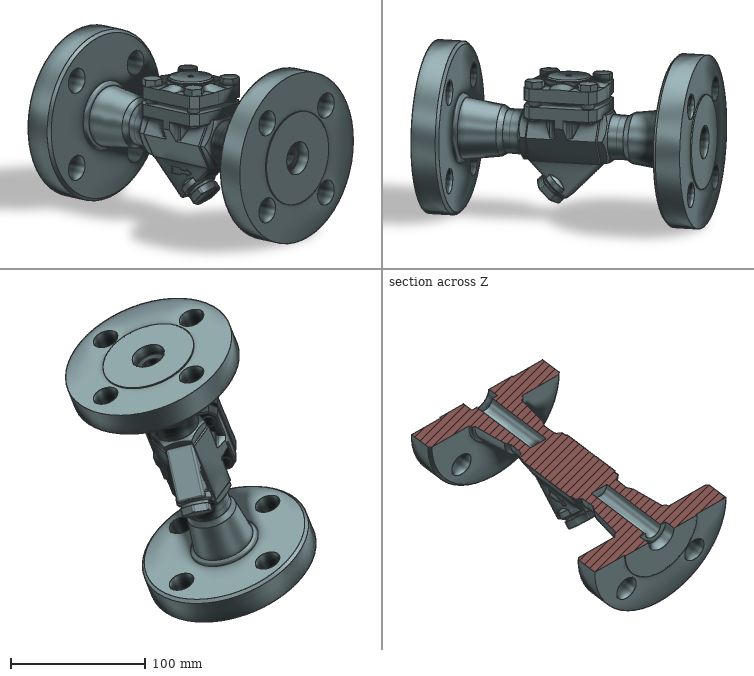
import cadquery as cq
import math

length = 210.0
half_length = length / 2

flange_dia = 130.0
flange_thickness = 21.0
flange_chamfer = 2.2
raised_face_dia = 71.0
raised_face_height = 1.0
bolt_circle_dia = 95.0
bolt_hole_dia = 19.0
bolt_hole_count = 4
port_dia = 25.0
port_depth = 9.5
bore_dia = 15.0

hub_dia = 46.4
hub_fillet = 3.2
cone_end_x = 51.0
cone_end_dia = 38.4
waist_start_x = 46.6
waist_end_x = 41.4
waist_dia = 33.2
collar_dia = 34.0

body_half_length = 34.6
end_hex_flats = 37.0
mid_hex_flats = 39.0
mid_half_length = 27.8
mid_end_chamfer = 0.9
end_chamfer_dia = 34.4
end_chamfer_length = 2.8

pad_half_y = 28.0
pad_corner_x = 28.1
pad_corner_cut = 5.1
pad_tip_x = 31.0
pad_tip_fillet = 30.0
body_pad_bottom_z = 15.0
body_pad_top_z = 25.0
body_pad_chamfer = 0.9
cover_bottom_z = 29.2
cover_top_z = 38.8

spigot_dia = 32.0
dome_dia = 34.0
dome_chamfer = 1.0
dome_foot_dia = 35.4
dome_foot_height = 3.9
dome_top_z = 44.6
button_dia = 4.0
button_tip_dia = 2.8
button_height = 0.6
ridge_inner_radius = 14.0
ridge_inner_half_width = 9.4
ridge_inner_rise = 4.0
ridge_outer_half_width = 7.7
ridge_outer_rise = 0.5

cover_bolt_offset = 20.5
cover_bolt_dia = 9.0
cover_bolt_end_z = 13.5
cover_bolt_head_flats = 13.0
cover_bolt_head_top_z = 43.9
cover_bolt_head_chamfer = 0.6

web_root_half_width = 15.0
web_root_y = 13.4
web_shoulder_half_width = 8.7
web_shoulder_y = 21.8
rib_root_half_width = 5.0
rib_face_half_width = 3.3
rib_root_fillet = 2.0

housing_reach = 33.6
housing_thickness = 21.4
housing_top_z = -14.0
housing_edge_fillet = 1.8
plug_axis_offset = 20.2
boss_dia = 26.6
boss_start = 26.3
boss_end = 34.6
boss_inner_taper_length = 2.6
boss_inner_taper_height = 2.8
boss_outer_chamfer = 1.4
plug_neck_dia = 21.0
plug_head_flats = 21.0
plug_head_start = 37.0
plug_head_end = 42.8
plug_head_edge_radius = 2.0
plug_head_chamfer = 0.8

arrow_height = 0.4
arrow_tail_x = -10.0
arrow_neck_x = 0.4
arrow_head_x = 5.6
arrow_tip_x = 10.0
arrow_z = -26.5
arrow_tail_half = 2.6
arrow_shaft_half = 1.3
arrow_notch = 1.8

flange_outer_x = half_length - raised_face_height
flange_inner_x = flange_outer_x - flange_thickness


def corner_dia(flats):
    """Across-corner size of a hexagon with the given across-flats size."""
    return flats / math.cos(math.pi / 6)


def make_pipe_end():
    """Flange and neck on the +X side, revolved about the X axis."""
    flange_r = flange_dia / 2
    hub_r = hub_dia / 2
    profile = (
        cq.Workplane("XY")
        .moveTo(0, 0)
        .lineTo(half_length, 0)
        .lineTo(half_length, raised_face_dia / 2)
        .lineTo(flange_outer_x, raised_face_dia / 2)
        .lineTo(flange_outer_x, flange_r)
        .lineTo(flange_inner_x + flange_chamfer, flange_r)
        .lineTo(flange_inner_x, flange_r - flange_chamfer)
        .lineTo(flange_inner_x, hub_r + hub_fillet)
        .radiusArc((flange_inner_x - hub_fillet, hub_r), -hub_fillet)
        .lineTo(cone_end_x, cone_end_dia / 2)
        .lineTo(waist_start_x, waist_dia / 2)
        .lineTo(waist_end_x, waist_dia / 2)
        .lineTo(body_half_length, collar_dia / 2)
        .lineTo(0, collar_dia / 2)
        .close()
    )
    pipe_end = profile.revolve(360, (0, 0, 0), (1, 0, 0))
    bolt_holes = (
        cq.Workplane("YZ")
        .workplane(offset=flange_inner_x)
        .polarArray(bolt_circle_dia / 2, 45, 360, bolt_hole_count)
        .circle(bolt_hole_dia / 2)
        .extrude(flange_thickness)
    )
    return pipe_end.cut(bolt_holes)


def make_port():
    """Stepped blind bore on the +X side."""
    socket = (
        cq.Workplane("YZ")
        .workplane(offset=half_length - port_depth)
        .circle(port_dia / 2)
        .extrude(port_depth)
    )
    bore = (
        cq.Workplane("YZ")
        .workplane(offset=body_half_length)
        .circle(bore_dia / 2)
        .extrude(half_length - body_half_length)
    )
    return socket.union(bore)


def hex_bar(flats, half_length_x):
    """Hexagonal bar along X with corners at +Y and -Y."""
    bar = cq.Workplane("YZ").polygon(6, corner_dia(flats))
    return bar.extrude(half_length_x, both=True)


def make_hex_body():
    """Chamfered hexagon with a larger hexagon around its middle."""
    end_r = end_chamfer_dia / 2
    full_r = corner_dia(end_hex_flats) / 2
    envelope = (
        cq.Workplane("XY")
        .moveTo(-body_half_length, 0)
        .lineTo(-body_half_length, end_r)
        .lineTo(-body_half_length + end_chamfer_length, full_r)
        .lineTo(body_half_length - end_chamfer_length, full_r)
        .lineTo(body_half_length, end_r)
        .lineTo(body_half_length, 0)
        .close()
        .revolve(360, (0, 0, 0), (1, 0, 0))
    )
    ends = hex_bar(end_hex_flats, body_half_length).intersect(envelope)
    middle = hex_bar(mid_hex_flats, mid_half_length)
    return ends.union(middle.faces("|X").chamfer(mid_end_chamfer))


def make_pad(bottom_z, top_z):
    """Square flange with cut corners and slightly pointed X sides."""
    flat_x = pad_corner_x - pad_corner_cut
    corner_y = pad_half_y - pad_corner_cut
    outline = [
        (flat_x, -pad_half_y),
        (pad_corner_x, -corner_y),
        (pad_tip_x, 0),
        (pad_corner_x, corner_y),
        (flat_x, pad_half_y),
        (-flat_x, pad_half_y),
        (-pad_corner_x, corner_y),
        (-pad_tip_x, 0),
        (-pad_corner_x, -corner_y),
        (-flat_x, -pad_half_y),
    ]
    pad = cq.Workplane("XY").workplane(offset=bottom_z).polyline(outline).close()
    pad = pad.extrude(top_z - bottom_z)
    return pad.edges("|Z and (<X or >X)").fillet(pad_tip_fillet)


def make_web():
    """Webs that carry the body pad down to the front and back hexagon corners."""
    outline = [
        (-web_root_half_width, -web_root_y),
        (-web_shoulder_half_width, -web_shoulder_y),
        (-rib_root_half_width, -web_shoulder_y),
        (-rib_face_half_width, -pad_half_y),
        (rib_face_half_width, -pad_half_y),
        (rib_root_half_width, -web_shoulder_y),
        (web_shoulder_half_width, -web_shoulder_y),
        (web_root_half_width, -web_root_y),
    ]
    root_margin = (web_shoulder_half_width - rib_root_half_width) / 2
    column_top_z = body_pad_bottom_z + body_pad_chamfer
    column = cq.Workplane("XY").polyline(outline).close().extrude(column_top_z)
    root_corners = cq.selectors.BoxSelector(
        (-web_shoulder_half_width + root_margin, -pad_half_y + root_margin, 0),
        (web_shoulder_half_width - root_margin, -web_root_y - root_margin, column_top_z),
    )
    column = column.edges("|Z").edges(root_corners).fillet(rib_root_fillet)
    hex_corner_y = corner_dia(mid_hex_flats) / 2
    slope_z = (pad_half_y - hex_corner_y) * math.tan(math.pi / 3)
    underside = (
        cq.Workplane("YZ")
        .polyline([(-hex_corner_y, 0), (-pad_half_y, slope_z), (-pad_half_y, 0)])
        .close()
        .extrude(web_root_half_width, both=True)
    )
    web = column.cut(underside)
    return web.union(web.mirror("XZ"))


def make_ridge(angle, pad_edge):
    """Arched ridge on the cover running outward from the dome."""
    start = cq.Plane(
        origin=(ridge_inner_radius, 0, cover_top_z), xDir=(0, 1, 0), normal=(1, 0, 0)
    )
    ridge = (
        cq.Workplane(start)
        .moveTo(-ridge_inner_half_width, 0)
        .threePointArc((0, ridge_inner_rise), (ridge_inner_half_width, 0))
        .close()
        .workplane(offset=pad_edge - ridge_inner_radius)
        .moveTo(-ridge_outer_half_width, 0)
        .threePointArc((0, ridge_outer_rise), (ridge_outer_half_width, 0))
        .close()
        .loft()
    )
    return ridge.rotate((0, 0, 0), (0, 0, 1), angle)


def make_cover():
    """Cover plate with spigot, ridges, footed dome and centre button."""
    spigot = (
        cq.Workplane("XY")
        .workplane(offset=body_pad_top_z)
        .circle(spigot_dia / 2)
        .extrude(cover_bottom_z - body_pad_top_z)
    )
    dome = (
        cq.Workplane("XY")
        .workplane(offset=cover_top_z)
        .circle(dome_dia / 2)
        .extrude(dome_top_z - cover_top_z)
        .faces(">Z")
        .chamfer(dome_chamfer)
    )
    foot = (
        cq.Workplane("XY")
        .workplane(offset=cover_top_z)
        .circle(dome_foot_dia / 2)
        .extrude(dome_foot_height)
    )
    button = (
        cq.Workplane("XY")
        .workplane(offset=dome_top_z)
        .circle(button_dia / 2)
        .workplane(offset=button_height)
        .circle(button_tip_dia / 2)
        .loft()
    )
    ridges = make_ridge(0, pad_tip_x).union(make_ridge(180, pad_tip_x))
    ridges = ridges.union(make_ridge(90, pad_half_y)).union(make_ridge(270, pad_half_y))
    footprint = make_pad(cover_bottom_z, dome_top_z)
    plate = make_pad(cover_bottom_z, cover_top_z)
    plate = plate.union(ridges.intersect(footprint))
    return plate.union(spigot).union(foot).union(dome).union(button)


def make_hex_head(plane, flats, height, chamfer):
    """Hexagon head standing on a plane, its top corners turned to a cone."""
    blank_dia = corner_dia(flats)
    head = cq.Workplane(plane).polygon(6, blank_dia).extrude(height)
    cone_base = height - chamfer
    cone_blank = cq.Workplane(plane).circle(blank_dia / 2).extrude(cone_base)
    cone_tip = (
        cq.Workplane(plane)
        .workplane(offset=cone_base)
        .circle(blank_dia / 2)
        .workplane(offset=chamfer)
        .circle(blank_dia / 2 - chamfer)
        .loft()
    )
    return head.intersect(cone_blank.union(cone_tip))


def make_cover_bolt(side_x, side_y):
    """Hexagon-head bolt at one corner of the cover."""
    x = side_x * cover_bolt_offset
    y = side_y * cover_bolt_offset
    shank = (
        cq.Workplane("XY")
        .workplane(offset=cover_bolt_end_z)
        .center(x, y)
        .circle(cover_bolt_dia / 2)
        .extrude(cover_top_z - cover_bolt_end_z)
    )
    turn = 0 if side_x * side_y < 0 else 90
    seat = cq.Plane(origin=(x, y, cover_top_z)).rotated((0, 0, turn))
    head_height = cover_bolt_head_top_z - cover_top_z
    head = make_hex_head(seat, cover_bolt_head_flats, head_height, cover_bolt_head_chamfer)
    return shank.union(head)


def make_housing():
    """Plate on its corner below the body, with rounded lower edges."""
    tip_z = -housing_reach * math.sqrt(2)
    top_half_width = housing_top_z - tip_z
    plate = (
        cq.Workplane("XZ")
        .polyline([(-top_half_width, housing_top_z), (0, tip_z), (top_half_width, housing_top_z)])
        .close()
        .extrude(housing_thickness / 2, both=True)
    )
    plate = plate.edges("|Y and <Z").fillet(housing_edge_fillet)
    return plate.faces("<Y or >Y").edges("not |X").fillet(housing_edge_fillet)


def make_plug():
    """Boss and hexagon plug, 45 degrees down toward +X."""
    axis_shift = -plug_axis_offset / math.sqrt(2)
    axis_plane = cq.Plane(
        origin=(axis_shift, 0, axis_shift), xDir=(1, 0, 1), normal=(1, 0, -1)
    )

    def step(start):
        return cq.Workplane(axis_plane).workplane(offset=start)

    boss = step(boss_start).circle(boss_dia / 2).extrude(boss_end - boss_start)
    inner_rim = boss.faces("<(1, 0, -1)").edges()
    boss = inner_rim.chamfer(boss_inner_taper_length, boss_inner_taper_height)
    boss = boss.faces(">(1, 0, -1)").edges().chamfer(boss_outer_chamfer)
    neck = step(boss_end).circle(plug_neck_dia / 2).extrude(plug_head_start - boss_end)
    head = make_hex_head(
        step(plug_head_start).plane, plug_head_flats, plug_head_end - plug_head_start, plug_head_chamfer
    )
    head = head.edges("|(1, 0, -1)").fillet(plug_head_edge_radius)
    return boss.union(neck).union(head)


def make_arrow():
    """Raised flow arrow pointing to the outlet."""
    outline = [
        (arrow_tail_x, arrow_tail_half),
        (arrow_neck_x - arrow_shaft_half, arrow_tail_half),
        (arrow_neck_x, arrow_shaft_half),
        (arrow_head_x, arrow_shaft_half),
        (arrow_head_x, arrow_tail_half),
        (arrow_tip_x, 0),
        (arrow_head_x, -arrow_tail_half),
        (arrow_head_x, -arrow_shaft_half),
        (arrow_neck_x, -arrow_shaft_half),
        (arrow_neck_x - arrow_shaft_half, -arrow_tail_half),
        (arrow_tail_x, -arrow_tail_half),
        (arrow_tail_x + arrow_notch, 0),
    ]
    arrow = cq.Workplane("XZ").workplane(offset=housing_thickness / 2)
    return arrow.center(0, arrow_z).polyline(outline).close().extrude(arrow_height)


pipe_end = make_pipe_end()
result = pipe_end.union(pipe_end.mirror("YZ"))
result = result.union(make_hex_body())

body_pad = make_pad(body_pad_bottom_z, body_pad_top_z)
result = result.union(body_pad.faces("<Z").chamfer(body_pad_chamfer))
result = result.union(make_web())
result = result.union(make_cover())
for side_x in (-1, 1):
    for side_y in (-1, 1):
        result = result.union(make_cover_bolt(side_x, side_y))

result = result.union(make_housing())
result = result.union(make_plug())
result = result.union(make_arrow())

port = make_port()
result = result.cut(port).cut(port.mirror("YZ"))